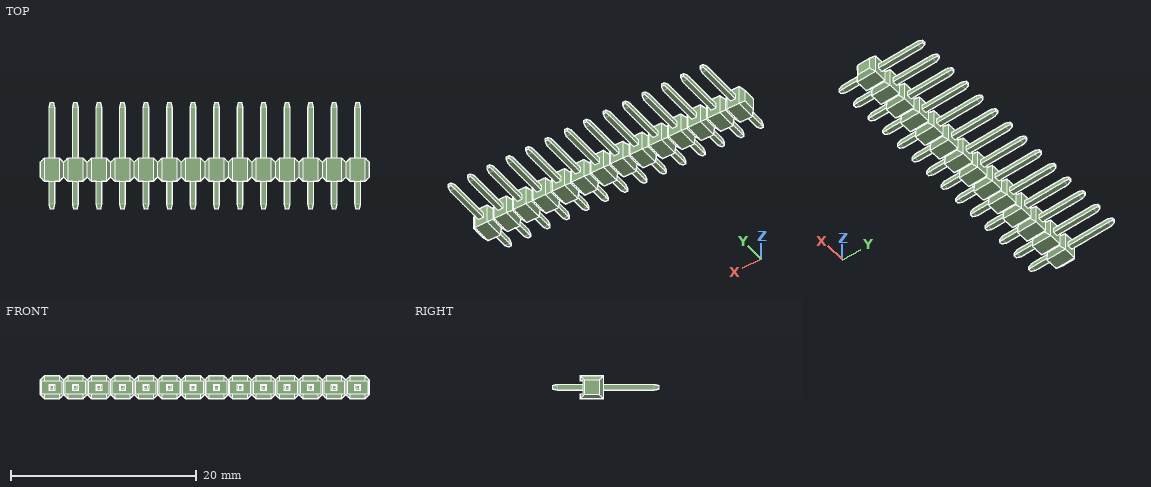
import cadquery as cq

pin_count = 14
pitch = 2.54

body_depth = pitch
body_height = 2.5
side_chamfer = 0.46
groove_depth = 0.3
groove_height = 1.4

pin_size = 0.64
rear_length = 6.0
front_length = 3.0
tip_length = 0.54
tip_size = 0.38

body_front = -body_depth / 2
body_rear = body_depth / 2


def make_segment():
    """One body segment, bevelled around its X faces, with a groove across its front."""
    block = (
        cq.Workplane("XY")
        .box(pitch, body_depth, body_height)
        .faces("<X or >X")
        .edges()
        .chamfer(side_chamfer)
    )
    groove = cq.Workplane("XY").box(pitch, groove_depth, groove_height)
    return block.cut(groove.translate((0, body_front + groove_depth / 2, 0)))


def make_tip():
    """Tapered pin end, based on the XZ plane and pointing toward -Y."""
    return (
        cq.Workplane("XZ")
        .rect(pin_size, pin_size)
        .workplane(offset=tip_length)
        .rect(tip_size, tip_size)
        .loft(ruled=True)
    )


def make_pin():
    """Straight square pin with a tapered tip at each end."""
    shank_front = body_front - front_length + tip_length
    shank_rear = body_rear + rear_length - tip_length
    shank = cq.Workplane("XY").box(pin_size, shank_rear - shank_front, pin_size)
    shank = shank.translate((0, (shank_front + shank_rear) / 2, 0))
    front_tip = make_tip().translate((0, shank_front, 0))
    rear_tip = make_tip().mirror("XZ").translate((0, shank_rear, 0))
    return shank.union(front_tip).union(rear_tip)


contact = make_segment().union(make_pin())
first_x = -pitch * (pin_count - 1) / 2

result = contact.translate((first_x, 0, 0))
for index in range(1, pin_count):
    result = result.union(contact.translate((first_x + index * pitch, 0, 0)))